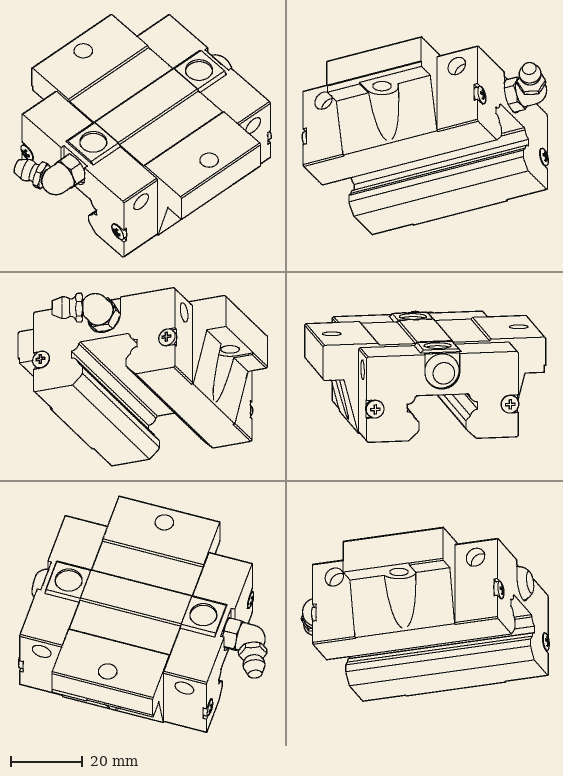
import cadquery as cq
import math


overall_length = 69.4

flange_half_width = 31.5
flange_half_length = 14.7
block_height = 25.4
edge_chamfer = 0.4
underside_z = 15.35
wall_bottom_x = 21.6
wall_top_x = 25.6
pad_inner_x = 15.55
top_recess_depth = 0.5
ridge_half_width = 4.9
side_step_z = 17.35
side_step_depth = 0.4

flange_hole_x = 26.45
flange_hole_radius = 2.6
spotface_radius = 9.4 / 2
spotface_z = 15.8

cap_half_width = 21.45
cap_end_y = 24.8
plate_end_y = 27.3
cap_top_z = 24.35
cap_ridge_top_z = 25.2
cap_hole_y = 20.8
cap_hole_radius = 2.7
cap_hole_depth = 4.15
top_disc_y = 19.65
top_disc_radius = 3.75
top_disc_depth = 0.8

port_z = 19.4
port_radius = 4.9
seat_depth = 1.05
seat_y = plate_end_y - seat_depth

screw_x = 19.1
screw_z = 9.45
screw_radius = 2.5
screw_rim = 1.25
screw_height = 1.9
screw_slot_clearance = 0.035
cross_length = 2.65
cross_width = 0.6
cross_depth = 0.4

plug_radius = 4.85
plug_tip_radius = 3.05
plug_rim = 0.2
plug_end_y = 29.4
plug_bulge_radius = 4.3
plug_bulge_y = 28.1

elbow_hex_flats = 8.1
elbow_hex_end_y = 30.25
hex_chamfer = 0.3
elbow_radius = 7.85 / 2
elbow_center_y = 33.6
nipple_angle = 22.5
nipple_hex_flats = 6.95
nipple_hex_start = 3.55
nipple_hex_end = 5.4
nipple_root_radius = 2.1
neck_radius = 2.4
neck_distance = 7.1
neck_mid_radius = 2.8
neck_mid_distance = 5.9
head_radius = 3.05
head_distance = 9.2
head_bulge_radius = 3.0
head_bulge_distance = 8.1
nipple_tip_radius = 1.95
nipple_tip_y = overall_length - plug_end_y
nipple_tilt = math.radians(nipple_angle)
nipple_rim_drop = nipple_tip_radius * math.cos(nipple_tilt)
nipple_length = (nipple_tip_y - elbow_center_y - nipple_rim_drop) / math.sin(nipple_tilt)

rail_top_half_width = 7.2
rail_top_z = 12.8
rail_bottom_half_width = 9.6
entry_slope_end = (7.0, 2.35)
lip_x = 6.6
lip_bottom_z = 3.05
lip_top_z = 5.15
lip_slope_start = (6.8, 5.4)
lower_retainer_start = (7.9, 6.5)
lower_retainer_crest = (8.5, 7.65)
groove_x = 9.9
groove_bottom_z = 8.3
groove_top_z = 10.4
upper_retainer_crest = (8.4, 11.05)
upper_retainer_end = (7.7, 12.3)


def box(x0, x1, y0, y1, z0, z1):
    return cq.Workplane("XY").box(x1 - x0, y1 - y0, z1 - z0, centered=False).translate((x0, y0, z0))


def extrude_along_y(outline, half_length):
    return outline.extrude(half_length, both=True)


def mirrored_outline(right_side):
    """Closed outline symmetric about the YZ plane, given its +X points."""
    left_side = [(-x, z) for x, z in reversed(right_side)]
    return cq.Workplane("XZ").polyline(right_side + left_side).close()


def cylinder_z(x, y, radius, z0, z1):
    return cq.Workplane("XY", origin=(x, y, z0)).circle(radius).extrude(z1 - z0)


def hex_prism(flats, start, end):
    """Hexagon along +Z with a corner on the X axis; its corners are turned down to a cone at both ends."""
    corner_radius = flats / 2 / math.cos(math.pi / 6)
    prism = cq.Workplane("XY", origin=(0, 0, start)).polygon(6, 2 * corner_radius).extrude(end - start)
    turned = cylinder_z(0, 0, corner_radius, start, end)
    turned = turned.faces("<Z or >Z").chamfer(hex_chamfer, corner_radius - flats / 2)
    return prism.intersect(turned)


def make_block():
    recess_z = block_height - top_recess_depth
    outline = mirrored_outline([
        (ridge_half_width, block_height),
        (ridge_half_width + top_recess_depth, recess_z),
        (pad_inner_x, recess_z),
        (pad_inner_x + top_recess_depth, block_height),
        (flange_half_width - edge_chamfer, block_height),
        (flange_half_width, block_height - edge_chamfer),
        (flange_half_width, underside_z + edge_chamfer),
        (flange_half_width - edge_chamfer, underside_z),
        (wall_top_x, underside_z),
        (wall_bottom_x, 0),
    ])
    block = extrude_along_y(outline, flange_half_length)
    block = block.cut(box(-flange_half_width, side_step_depth - flange_half_width,
                          -flange_half_length, flange_half_length, underside_z, side_step_z))
    for side in (-1, 1):
        hole_x = side * flange_hole_x
        x0, x1 = sorted((side * wall_top_x, side * flange_half_width))
        block = block.cut(cylinder_z(hole_x, 0, flange_hole_radius, 0, block_height))
        block = block.cut(cylinder_z(hole_x, 0, spotface_radius, 0, spotface_z))
        run_x0, run_x1 = sorted((hole_x, side * flange_half_width))
        block = block.cut(box(run_x0, run_x1, -spotface_radius, spotface_radius, underside_z, spotface_z))
        block = block.cut(box(x0, x1, -flange_half_length, 0, underside_z, spotface_z))
    return block


def make_cap_bodies():
    """End caps and end plates as one bar running the full length, plus the raised ridge of the caps."""
    cap_outline = mirrored_outline([
        (cap_half_width - edge_chamfer, cap_top_z),
        (cap_half_width, cap_top_z - edge_chamfer),
        (cap_half_width, edge_chamfer),
        (cap_half_width - edge_chamfer, 0),
    ])
    ridge_height = cap_ridge_top_z - cap_top_z
    ridge_outline = mirrored_outline([
        (ridge_half_width, cap_ridge_top_z),
        (ridge_half_width + ridge_height, cap_top_z),
    ])
    bodies = extrude_along_y(cap_outline, plate_end_y)
    return bodies.union(extrude_along_y(ridge_outline, cap_end_y))


def rail_opening():
    """Opening for the rail, drawn for +X and mirrored."""
    flank = cq.Workplane("XZ").lineTo(rail_bottom_half_width, 0)
    flank = flank.lineTo(*entry_slope_end).lineTo(lip_x, lip_bottom_z).lineTo(lip_x, lip_top_z)
    flank = flank.lineTo(*lip_slope_start).lineTo(*lower_retainer_start)
    flank = flank.threePointArc(lower_retainer_crest, (groove_x, groove_bottom_z))
    flank = flank.lineTo(groove_x, groove_top_z)
    flank = flank.threePointArc(upper_retainer_crest, upper_retainer_end)
    flank = flank.lineTo(rail_top_half_width, rail_top_z).lineTo(0, rail_top_z).close()
    half = extrude_along_y(flank, plate_end_y)
    return half.union(half.mirror("YZ"))


def cut_cap_details(body):
    for end in (-1, 1):
        y0, y1 = sorted((end * seat_y, end * plate_end_y))
        body = body.cut(cylinder_z(0, end * top_disc_y, top_disc_radius,
                                   cap_ridge_top_z - top_disc_depth, cap_ridge_top_z))
        seat = cq.Workplane("XZ", origin=(0, y1, port_z)).circle(port_radius).extrude(seat_depth)
        seat = seat.union(box(-port_radius, port_radius, y0, y1, port_z, cap_top_z))
        body = body.cut(seat)
        for side in (-1, 1):
            hole = cq.Workplane("YZ", origin=(side * cap_half_width, end * cap_hole_y, port_z))
            body = body.cut(hole.circle(cap_hole_radius).extrude(-side * cap_hole_depth))
            slot_radius = screw_radius + screw_slot_clearance
            x0, x1 = sorted((side * screw_x, side * cap_half_width))
            slot = cq.Workplane("XZ", origin=(side * screw_x, y1, screw_z)).circle(slot_radius)
            slot = slot.extrude(seat_depth)
            slot = slot.union(box(x0, x1, y0, y1, screw_z - slot_radius, screw_z + slot_radius))
            body = body.cut(slot)
    return body


def make_screw():
    """Domed head standing on the XY plane with a cross recess."""
    rise = screw_height - screw_rim
    dome_radius = (screw_radius ** 2 + rise ** 2) / (2 * rise)
    half_radius = screw_radius / 2
    half_z = screw_height - dome_radius + math.sqrt(dome_radius ** 2 - half_radius ** 2)
    profile = cq.Workplane("XZ").lineTo(screw_radius, 0).lineTo(screw_radius, screw_rim)
    profile = profile.threePointArc((half_radius, half_z), (0, screw_height)).close()
    screw = profile.revolve(360, (0, 0, 0), (0, 1, 0))
    cross = cq.Workplane("XY", origin=(0, 0, screw_height - cross_depth))
    for length, width in ((cross_length, cross_width), (cross_width, cross_length)):
        screw = screw.cut(cross.rect(length, width).extrude(cross_depth))
    return screw


def add_screws(body):
    for end in (-1, 1):
        head = make_screw().rotate((0, 0, 0), (1, 0, 0), -90 * end)
        for side in (-1, 1):
            body = body.union(head.translate((side * screw_x, end * seat_y, screw_z)))
    return body


def make_plug():
    profile = cq.Workplane("XY").moveTo(0, seat_y).lineTo(plug_radius, seat_y)
    profile = profile.lineTo(plug_radius, seat_y + plug_rim)
    profile = profile.threePointArc((plug_bulge_radius, plug_bulge_y), (plug_tip_radius, plug_end_y))
    profile = profile.lineTo(0, plug_end_y).close()
    return profile.revolve(360, (0, 0, 0), (0, 1, 0)).translate((0, 0, port_z))


def make_nipple():
    """Nipple along +Z, measured from the center of the elbow ball."""
    profile = cq.Workplane("XZ").lineTo(nipple_root_radius, 0).lineTo(nipple_root_radius, nipple_hex_end)
    profile = profile.lineTo(nipple_hex_flats / 2, nipple_hex_end)
    profile = profile.threePointArc((neck_mid_radius, neck_mid_distance), (neck_radius, neck_distance))
    profile = profile.threePointArc((head_bulge_radius, head_bulge_distance), (head_radius, head_distance))
    profile = profile.lineTo(nipple_tip_radius, nipple_length).lineTo(0, nipple_length).close()
    nipple = profile.revolve(360, (0, 0, 0), (0, 1, 0))
    return nipple.union(hex_prism(nipple_hex_flats, nipple_hex_start, nipple_hex_end))


def make_grease_fitting():
    """Hexagon, round shank, ball elbow and the nipple turned toward -X."""
    ball_distance = elbow_center_y - seat_y
    fitting = hex_prism(elbow_hex_flats, 0, elbow_hex_end_y - seat_y)
    fitting = fitting.union(cylinder_z(0, 0, elbow_radius, 0, ball_distance))
    fitting = fitting.union(cq.Workplane("XY").sphere(elbow_radius).translate((0, 0, ball_distance)))
    nipple = make_nipple().rotate((0, 0, 0), (0, 1, 0), nipple_angle - 90)
    fitting = fitting.union(nipple.translate((0, 0, ball_distance)))
    return fitting.rotate((0, 0, 0), (1, 0, 0), 90).translate((0, -seat_y, port_z))


carriage = cut_cap_details(make_cap_bodies()).union(make_block())
carriage = carriage.cut(rail_opening())
carriage = add_screws(carriage)
result = carriage.union(make_plug()).union(make_grease_fitting())